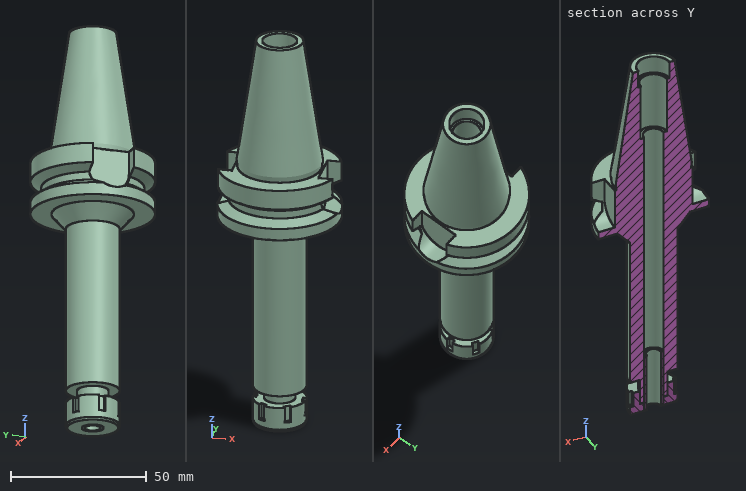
import cadquery as cq

total_height = 153.4
cone_foot_z = 77.3
flange_bottom_z = 83.1
lower_rim_z = 87.7
groove_bottom_z = 90.2
groove_top_z = 93.3
upper_rim_z = 95.5
flange_top_z = 103.1
gauge_line_z = 105.2
nose_top_z = 14.4

taper_top_radius = 8.7
gauge_radius = 16.0
taper_foot_radius = 15.6
flange_radius = 23.0
groove_radius = 19.0
cone_top_radius = 15.2
shank_radius = 10.0
nose_radius = 5.8

counterbore_radius = 6.5
counterbore_depth = 7.2
thread_bore_radius = 5.4
thread_bore_depth = 30.7

slot_width = 16.1
slot_floor_x = 16.3
slot_bottom_z = 86.5

nut_radius = shank_radius
nut_height = 9.7
nut_chamfer_width = 0.5
nut_chamfer_height = 0.9
notch_count = 6
notch_width = 2.5
notch_depth = 1.4
notch_floor_z = 3.7

collet_radius = 4.0
collet_bore_radius = 2.9
collet_length = 24.5


def cylinder(radius, bottom_z, top_z):
    """Cylinder about the Z axis between two heights."""
    return cq.Workplane("XY").workplane(offset=bottom_z).circle(radius).extrude(top_z - bottom_z)


def make_drive_slot():
    """Cutter on the +X side, open at the flange top and fully rounded at its lower end."""
    slot_radius = slot_width / 2
    round_center_z = slot_bottom_z + slot_radius
    return (
        cq.Workplane("YZ", origin=(slot_floor_x, 0, 0))
        .moveTo(-slot_radius, flange_top_z)
        .lineTo(-slot_radius, round_center_z)
        .threePointArc((0, slot_bottom_z), (slot_radius, round_center_z))
        .lineTo(slot_radius, flange_top_z)
        .close()
        .extrude(flange_radius - slot_floor_x)
    )


def make_holder():
    """Taper, grooved flange, shank and the nose that carries the nut."""
    profile = [
        (0, notch_floor_z),
        (nose_radius, notch_floor_z),
        (nose_radius, nose_top_z),
        (shank_radius, nose_top_z),
        (shank_radius, cone_foot_z),
        (cone_top_radius, flange_bottom_z),
        (flange_radius, flange_bottom_z),
        (flange_radius, lower_rim_z),
        (groove_radius, groove_bottom_z),
        (groove_radius, groove_top_z),
        (flange_radius, upper_rim_z),
        (flange_radius, flange_top_z),
        (taper_foot_radius, flange_top_z),
        (gauge_radius, gauge_line_z),
        (taper_top_radius, total_height),
        (0, total_height),
    ]
    body = cq.Workplane("XZ").polyline(profile).close().revolve(360, (0, 0, 0), (0, 1, 0))

    drive_slot = make_drive_slot()
    for angle in (0, 180):
        body = body.cut(drive_slot.rotate((0, 0, 0), (0, 0, 1), angle))

    body = body.cut(cylinder(counterbore_radius, total_height - counterbore_depth, total_height))
    body = body.cut(cylinder(thread_bore_radius, total_height - thread_bore_depth, total_height))
    return body.cut(cylinder(collet_radius, 0, total_height))


def make_nut():
    """Notched ring that receives the holder nose from above and the collet through its floor."""
    profile = [
        (0, 0),
        (nut_radius - nut_chamfer_width, 0),
        (nut_radius, nut_chamfer_height),
        (nut_radius, nut_height),
        (0, nut_height),
    ]
    body = cq.Workplane("XZ").polyline(profile).close().revolve(360, (0, 0, 0), (0, 1, 0))
    body = body.cut(cylinder(nose_radius, notch_floor_z, nut_height))
    body = body.cut(cylinder(collet_radius, 0, nut_height))

    notch = cq.Workplane("XY").box(
        2 * notch_depth, notch_width, nut_height - notch_floor_z, centered=(True, True, False)
    ).translate((nut_radius, 0, notch_floor_z))
    for index in range(notch_count):
        body = body.cut(notch.rotate((0, 0, 0), (0, 0, 1), index * 360 / notch_count))
    return body


def make_collet():
    """Sleeve running through the nut floor and up into the holder bore."""
    return cylinder(collet_radius, 0, collet_length).cut(cylinder(collet_bore_radius, 0, collet_length))


holder = make_holder()
nut = make_nut()
collet = make_collet()

result = cq.Compound.makeCompound([holder.val(), nut.val(), collet.val()])